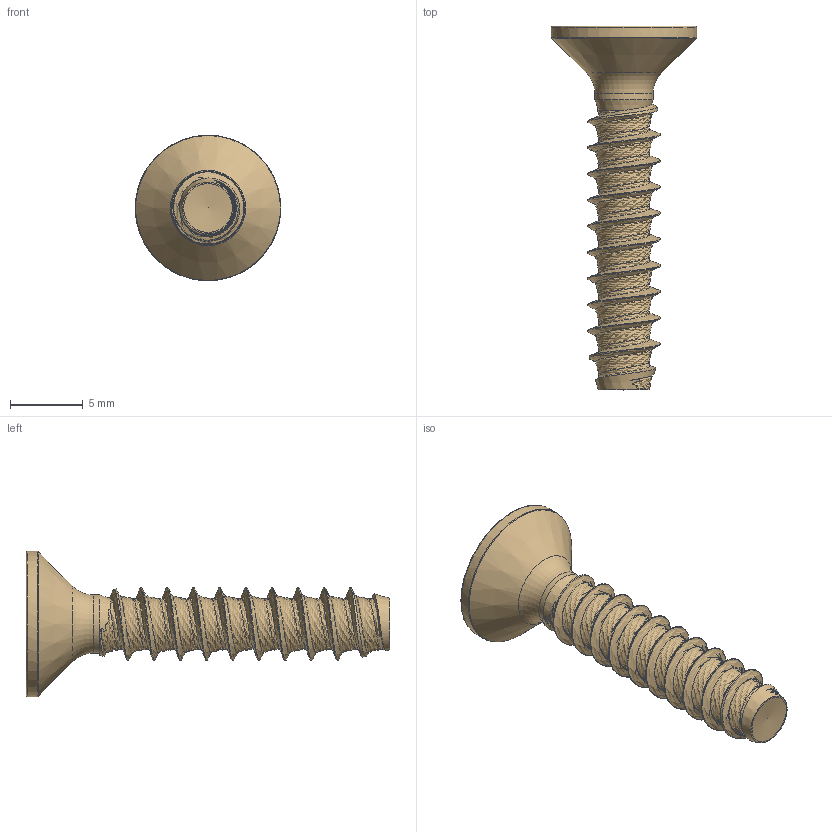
import cadquery as cq
import math


length = 25.0
head_radius = 5.0
rim_height = 0.8
rim_fillet = 0.08
neck_radius = 2.0
neck_end = 5.05
countersink_angle = math.radians(45)
neck_fillet_radius = 2.0

root_radius = 1.75
blend_end = 5.8
blend_core_radius = 1.5

dimple_radius = 1.67
dimple_depth = 0.15

pitch = 1.8
crest_radius = 2.5
crest_half_width = 0.03
head_flank_offset = -0.3
tip_flank_offset = 0.3
tip_flank_radius = 1.95
root_taper_offset = 1.2

crest_depth = 3.85

run_in_radius = 2.15
run_in_end = 6.6
run_out_start = 22.3
run_out_radius = 1.77

clearance = 0.05

spiral_steps = 4


def revolve_about_axis(outline):
    """Close a half-section drawn in (radius, depth) and turn it about Z."""
    return outline.close().revolve(360, (0, 0, 0), (0, 1, 0))


def make_head_and_neck():
    """Head with rounded rim, countersink, filleted neck and blend cone."""
    fillet_drop = neck_fillet_radius * (1 - math.cos(countersink_angle))
    cone_end_radius = neck_radius + fillet_drop
    cone_end = rim_height + (head_radius - cone_end_radius) / math.tan(countersink_angle)
    fillet_end = cone_end + neck_fillet_radius * math.sin(countersink_angle)

    half_angle = countersink_angle / 2
    fillet_middle = (
        neck_radius + neck_fillet_radius * (1 - math.cos(half_angle)),
        fillet_end - neck_fillet_radius * math.sin(half_angle),
    )
    blend_slope = (blend_end - neck_end) / (neck_radius - root_radius)
    blend_core_end = neck_end + blend_slope * (neck_radius - blend_core_radius)

    head = revolve_about_axis(
        cq.Workplane("XZ")
        .lineTo(head_radius, 0)
        .lineTo(head_radius, rim_height)
        .lineTo(cone_end_radius, cone_end)
        .threePointArc(fillet_middle, (neck_radius, fillet_end))
        .lineTo(neck_radius, neck_end)
        .lineTo(blend_core_radius, blend_core_end)
        .lineTo(0, blend_core_end)
    )
    rim_edges = cq.selectors.RadiusNthSelector(-1)
    return head.edges("%CIRCLE").edges(rim_edges).fillet(rim_fillet)


def section_point(offset, radius):
    """Point of the thread profile where it meets the plane at the neck's end."""
    angle = 2 * math.pi * (neck_end - crest_depth - offset) / pitch
    return (radius * math.cos(angle), radius * math.sin(angle))


def make_threaded_shank():
    """Thread and core in one body: the cross-section twisted along the axis."""
    profile = [
        (head_flank_offset, root_radius),
        (-crest_half_width, crest_radius),
        (crest_half_width, crest_radius),
        (tip_flank_offset, tip_flank_radius),
        (root_taper_offset, root_radius),
        (head_flank_offset + pitch, root_radius),
    ]
    section = cq.Workplane("XY").moveTo(*section_point(*profile[0]))
    for (offset, radius), (next_offset, next_radius) in zip(profile, profile[1:]):
        offset_step = (next_offset - offset) / spiral_steps
        radius_step = (next_radius - radius) / spiral_steps
        stretch = [
            section_point(offset + i * offset_step, radius + i * radius_step)
            for i in range(1, spiral_steps + 1)
        ]
        if radius == next_radius:
            section = section.threePointArc(stretch[spiral_steps // 2 - 1], stretch[-1])
        else:
            section = section.spline(stretch, includeCurrent=True)

    shank_length = length + clearance - neck_end
    shank = section.wire().twistExtrude(shank_length, 360 * shank_length / pitch)
    return shank.translate((0, 0, neck_end))


def make_shank_envelope():
    """Turned shape that trims the thread's run-in and run-out and hollows the tip."""
    run_in_slope = (crest_radius - run_in_radius) / (run_in_end - neck_end)
    run_out_slope = (crest_radius - run_out_radius) / (length - run_out_start)
    return revolve_about_axis(
        cq.Workplane("XZ")
        .moveTo(0, neck_end - clearance)
        .lineTo(run_in_radius - run_in_slope * clearance, neck_end - clearance)
        .lineTo(crest_radius + clearance, run_in_end + clearance / run_in_slope)
        .lineTo(crest_radius + clearance, run_out_start - clearance / run_out_slope)
        .lineTo(run_out_radius, length)
        .lineTo(dimple_radius, length)
        .lineTo(0, length - dimple_depth)
    )


shank = make_threaded_shank().intersect(make_shank_envelope())
screw = make_head_and_neck().union(shank)
result = screw.rotate((0, 0, 0), (1, 0, 0), 90)